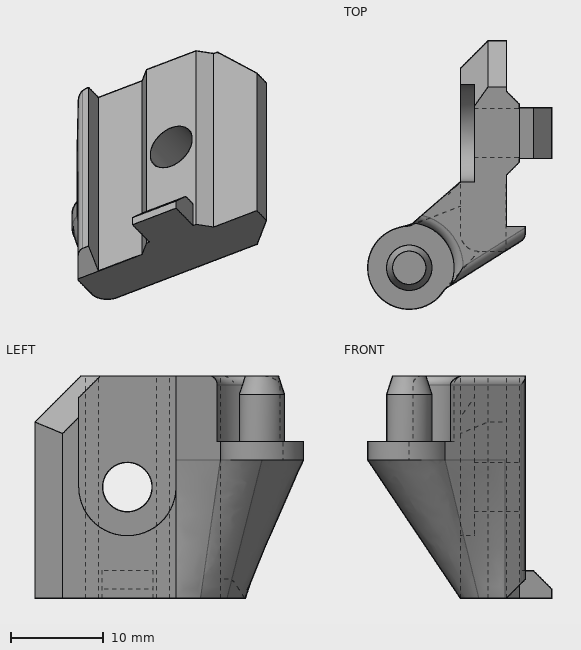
import cadquery as cq
import math

height = 24.0
plate_thickness = 5.0
plate_front = 9.28
plate_back = 24.5
bevel = 3.0
top_slope = 5.0

hole_diameter = 5.3
hole_z = 12.0
pocket_radius = 5.25
pocket_depth = 1.5
hole_y = plate_front + pocket_radius
pad_thickness = 1.4
pad_width = 6.25
catch_width = 5.5
catch_height = 3.0
catch_bevel = 2.0
catch_end = 9.9

pin_x = -5.5
pin_diameter = 4.9
pin_tip_diameter = 3.6
pin_tip_height = 2.0
flange_radius = 4.5
flange_bottom = 14.94
flange_top = 16.95
recess_radius = 4.85

arm_end = 7.02
arm_back = 4.47
arm_corner_y = 3.15
arm_slope = math.radians(32.2)
edge_radius = 1.0
end_bevel = 2.05

support_end = 4.8
foot_radius = 2.0
foot_seam_y = 6.65


def arm_face_y(x):
    """Y of the slanted front face of the arm at a given X."""
    return arm_corner_y - (arm_end - x) * math.tan(arm_slope)


def flange_point(angle):
    """Point on the flange rim."""
    return (pin_x + flange_radius * math.cos(angle), flange_radius * math.sin(angle))


face_distance = -arm_face_y(pin_x) * math.cos(arm_slope)
face_angle = arm_slope - math.asin(face_distance / flange_radius)
rim_back = flange_point(math.pi / 2)
rim_left = flange_point(math.pi)
rim_front = flange_point(face_angle)


def make_plate():
    outline = [
        (0, plate_front),
        (0, plate_back - bevel),
        (bevel, plate_back),
        (plate_thickness, plate_back),
        (plate_thickness, plate_front),
    ]
    plate = cq.Workplane("XY").polyline(outline).close().extrude(height)
    slope_plane = cq.Plane(
        origin=(0, plate_back, height - top_slope), xDir=(1, 0, 0), normal=(0, -1, 1)
    )
    cut_outline = [
        (-bevel, -2 * bevel),
        (bevel, 0),
        (2 * plate_thickness, 0),
        (2 * plate_thickness, height),
        (-bevel, height),
    ]
    slope_cut = cq.Workplane(slope_plane).polyline(cut_outline).close().extrude(height, both=True)
    return plate.cut(slope_cut)


def make_pad():
    half = pad_width / 2
    pad_face = plate_thickness + pad_thickness
    outline = [
        (plate_thickness, hole_y - half - pad_thickness),
        (pad_face, hole_y - half),
        (pad_face, hole_y + half),
        (plate_thickness, hole_y + half + pad_thickness),
    ]
    return cq.Workplane("XY").polyline(outline).close().extrude(height)


def make_catch():
    outline = [
        (plate_thickness, 0),
        (catch_end, 0),
        (catch_end, catch_height - catch_bevel),
        (catch_end - catch_bevel, catch_height),
        (plate_thickness, catch_height),
    ]
    catch = cq.Workplane("XZ").polyline(outline).close().extrude(catch_width / 2, both=True)
    return catch.translate((0, hole_y, 0))


def make_arm():
    outline = [
        (0, plate_front),
        rim_back,
        rim_front,
        (arm_end, arm_corner_y),
        (arm_end, arm_back),
        (plate_thickness, arm_back),
        (plate_thickness, plate_front),
    ]
    arm = cq.Workplane("XY").polyline(outline).close().extrude(height)
    middle_x = (rim_front[0] + arm_end) / 2
    top_edge = cq.selectors.NearestToPointSelector((middle_x, arm_face_y(middle_x), height))
    top_rounded = arm.edges(top_edge).fillet(edge_radius)
    corner_edge = cq.selectors.NearestToPointSelector((arm_end, arm_corner_y, height / 2))
    corner_rounded = arm.edges(corner_edge).fillet(edge_radius)
    arm = top_rounded.intersect(corner_rounded)

    bevel_cut = (
        cq.Workplane("XZ")
        .polyline([(arm_end - end_bevel, 0), (arm_end, 0), (arm_end, end_bevel)])
        .close()
        .extrude(plate_front, both=True)
    )
    under_cut = (
        cq.Workplane("XY")
        .rect(4 * flange_radius, 4 * plate_front)
        .extrude(flange_bottom)
        .translate((support_end - 2 * flange_radius, 0, 0))
    )
    return arm.cut(bevel_cut).cut(under_cut)


def make_recess():
    """Round clearance above the flange, flared at the top by a rounded edge."""
    diagonal = edge_radius * math.sqrt(0.5)
    flare_radius = recess_radius + edge_radius
    return (
        cq.Workplane("XZ")
        .moveTo(0, flange_top)
        .lineTo(recess_radius, flange_top)
        .lineTo(recess_radius, height - edge_radius)
        .threePointArc(
            (flare_radius - diagonal, height - edge_radius + diagonal),
            (flare_radius, height),
        )
        .lineTo(0, height)
        .close()
        .revolve(360, (0, 0, 0), (0, 1, 0))
        .translate((pin_x, 0, 0))
    )


def make_support():
    """Ruled taper from the flange rim down to the rounded foot of the plate."""
    foot_y = arm_face_y(support_end)
    foot_diagonal = foot_radius * (1 - math.sqrt(0.5))
    foot = (
        cq.Workplane("XY")
        .moveTo(0, plate_front)
        .lineTo(0, foot_seam_y)
        .lineTo(0, foot_y + foot_radius)
        .threePointArc((foot_diagonal, foot_y + foot_diagonal), (foot_radius, foot_y))
        .lineTo(support_end, foot_y)
        .lineTo(support_end, plate_front)
        .close()
    )
    rim = (
        cq.Workplane("XY", origin=(0, 0, flange_bottom))
        .moveTo(0, plate_front)
        .lineTo(*rim_back)
        .threePointArc(flange_point(0.75 * math.pi), rim_left)
        .threePointArc(flange_point((face_angle - math.pi) / 2), rim_front)
        .lineTo(support_end, foot_y)
        .lineTo(support_end, plate_front)
        .close()
    )
    return cq.Workplane(cq.Solid.makeLoft([foot.val(), rim.val()], True))


def make_pin():
    flange = (
        cq.Workplane("XY", origin=(pin_x, 0, flange_bottom))
        .circle(flange_radius)
        .extrude(flange_top - flange_bottom)
    )
    pin_outline = [
        (0, flange_bottom),
        (pin_diameter / 2, flange_bottom),
        (pin_diameter / 2, height - pin_tip_height),
        (pin_tip_diameter / 2, height),
        (0, height),
    ]
    pin = cq.Workplane("XZ").polyline(pin_outline).close().revolve(360, (0, 0, 0), (0, 1, 0))
    return flange.union(pin.translate((pin_x, 0, 0)))


def make_screw_pocket():
    """Round-bottomed pocket open at the top, with a hole through the pad."""
    face = cq.Workplane("YZ", origin=(0, hole_y, hole_z))
    round_end = face.circle(pocket_radius).extrude(pocket_depth)
    channel = (
        face.center(0, height / 2)
        .rect(2 * pocket_radius, height)
        .extrude(pocket_depth)
    )
    hole = face.circle(hole_diameter / 2).extrude(catch_end)
    return round_end.union(channel).union(hole)


arm = make_arm().cut(make_recess())
body = make_plate().union(make_pad()).cut(make_screw_pocket())
result = body.union(arm).union(make_support()).union(make_pin()).union(make_catch())